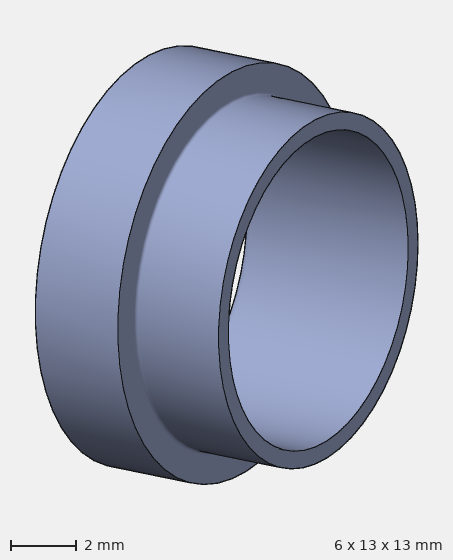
import cadquery as cq

flange_diameter = 13.0
barrel_diameter = 11.0
bore_diameter = 9.9
total_length = 6.0
flange_length = total_length / 2
bore_entry_radius = 0.3
shoulder_fillet_radius = 0.1


def cylinder_along_x(diameter, length):
    """Solid cylinder on the X axis, starting at the flange face (X = 0)."""
    return cq.Workplane("YZ").circle(diameter / 2).extrude(length)


flange = cylinder_along_x(flange_diameter, flange_length)
barrel = cylinder_along_x(barrel_diameter, total_length)
body = flange.union(barrel)

shoulder_face = body.faces("|X").faces(">X[1]")
body = shoulder_face.edges(cq.selectors.RadiusNthSelector(0)).fillet(shoulder_fillet_radius)

body = body.cut(cylinder_along_x(bore_diameter, total_length))
result = body.faces("<X").edges(cq.selectors.RadiusNthSelector(0)).fillet(bore_entry_radius)